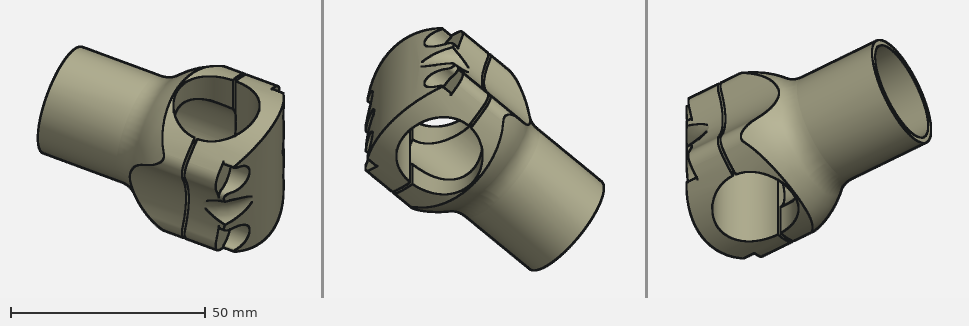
import cadquery as cq
import math


half_height = 20.32
waist_half_width = 16.06
crown_radius = 28.575
flank_radius = 22.8
corner_radius = 4.33

overall_length = 60.32
front_reach = 16.2
tube_end = front_reach - overall_length
tube_radius = 14.63
tube_bore_radius = 13.1
shoulder_radius = 23.6
shoulder_center_x = 0.5
neck_fillet = 7.9

bar_radius = 11.1
split_gap = 0.8

front_radius = 27.0

pocket_floor = 8.92
pocket_radius = 4.4
pocket_upper_fillet = 0.5
pocket_lower_fillet = 1.3

groove_center_x = 0.85
groove_inner_radius = 16.38
groove_section_radius = 5.0

cut_margin = 10.0


def circle_crossing(center_a, radius_a, center_b, radius_b):
    """Crossing of two circles that lies left of the line from center a to center b."""
    span = math.dist(center_a, center_b)
    heading = math.atan2(center_b[1] - center_a[1], center_b[0] - center_a[0])
    opening = math.acos((radius_a**2 + span**2 - radius_b**2) / (2 * radius_a * span))
    return point_at(center_a, radius_a, heading + opening)


def point_at(center, radius, angle):
    return (center[0] + radius * math.cos(angle), center[1] + radius * math.sin(angle))


def point_toward(center, target, distance):
    """Point at a distance from the center, on the ray from the center to the target."""
    angle = math.atan2(target[1] - center[1], target[0] - center[0])
    return point_at(center, distance, angle)


def arc_middle(center, start, end):
    """Middle of the shorter arc from start to end."""
    chord_middle = ((start[0] + end[0]) / 2, (start[1] + end[1]) / 2)
    return point_toward(center, chord_middle, math.dist(center, start))


crown_center = (0, half_height - crown_radius)
flank_center = (waist_half_width + flank_radius, 0)
corner_center = circle_crossing(
    crown_center, crown_radius - corner_radius, flank_center, flank_radius + corner_radius
)


def clamp_prism(x_start, x_end):
    """Clamp cross-section swept along X: crowned top and bottom, hollow flanks, round corners."""
    crown_end = point_toward(crown_center, corner_center, crown_radius)
    flank_end = point_toward(flank_center, corner_center, flank_radius)
    corner_middle = arc_middle(corner_center, crown_end, flank_end)
    crown_y, crown_z = crown_end
    middle_y, middle_z = corner_middle
    flank_y, flank_z = flank_end
    return (
        cq.Workplane("YZ", origin=(x_start, 0, 0))
        .moveTo(-crown_y, crown_z)
        .threePointArc((0, half_height), (crown_y, crown_z))
        .threePointArc((middle_y, middle_z), (flank_y, flank_z))
        .threePointArc((waist_half_width, 0), (flank_y, -flank_z))
        .threePointArc((middle_y, -middle_z), (crown_y, -crown_z))
        .threePointArc((0, -half_height), (-crown_y, -crown_z))
        .threePointArc((-middle_y, -middle_z), (-flank_y, -flank_z))
        .threePointArc((-waist_half_width, 0), (-flank_y, flank_z))
        .threePointArc((-middle_y, middle_z), (-crown_y, crown_z))
        .close()
        .extrude(x_end - x_start)
    )


def bar_bore():
    return cq.Workplane("XY").circle(bar_radius).extrude(half_height + cut_margin, both=True)


def stem_envelope():
    """Tube that flares through a fillet into a sphere centered near the handlebar axis."""
    shoulder_center = (shoulder_center_x, 0)
    fillet_height = tube_radius + neck_fillet
    fillet_x = shoulder_center_x - math.sqrt((shoulder_radius + neck_fillet) ** 2 - fillet_height**2)
    fillet_center = (fillet_x, fillet_height)
    fillet_start = (fillet_x, tube_radius)
    fillet_end = point_toward(shoulder_center, fillet_center, shoulder_radius)
    sphere_top = (shoulder_center_x, shoulder_radius)
    return (
        cq.Workplane("XY")
        .moveTo(tube_end, 0)
        .lineTo(tube_end, tube_radius)
        .lineTo(*fillet_start)
        .threePointArc(arc_middle(fillet_center, fillet_start, fillet_end), fillet_end)
        .threePointArc(arc_middle(shoulder_center, fillet_end, sphere_top), sphere_top)
        .lineTo(shoulder_center_x, 0)
        .close()
        .revolve(360, (0, 0, 0), (1, 0, 0))
    )


def make_stem():
    tube_bore = cq.Workplane("YZ", origin=(tube_end, 0, 0)).circle(tube_bore_radius).extrude(-tube_end)
    solid_stem = clamp_prism(tube_end, -split_gap).intersect(stem_envelope())
    return solid_stem.cut(tube_bore).cut(bar_bore()).solids()


def screw_pocket():
    """Round pocket opening outward through the upper +Y corner, with a rounded mouth."""
    upper_center = circle_crossing(
        crown_center,
        crown_radius - pocket_upper_fillet,
        corner_center,
        pocket_radius + pocket_upper_fillet,
    )
    lower_center = circle_crossing(
        flank_center,
        flank_radius + pocket_lower_fillet,
        corner_center,
        pocket_radius + pocket_lower_fillet,
    )
    crown_touch = point_toward(crown_center, upper_center, crown_radius)
    upper_touch = point_toward(corner_center, upper_center, pocket_radius)
    lower_touch = point_toward(corner_center, lower_center, pocket_radius)
    flank_touch = point_toward(flank_center, lower_center, flank_radius)
    deepest = (corner_center[0] - pocket_radius, corner_center[1])
    outside_y = waist_half_width + cut_margin
    outside_z = half_height + cut_margin
    return (
        cq.Workplane("YZ", origin=(pocket_floor, 0, 0))
        .moveTo(crown_touch[0], outside_z)
        .lineTo(*crown_touch)
        .threePointArc(arc_middle(upper_center, crown_touch, upper_touch), upper_touch)
        .threePointArc(deepest, lower_touch)
        .threePointArc(arc_middle(lower_center, lower_touch, flank_touch), flank_touch)
        .lineTo(outside_y, flank_touch[1])
        .lineTo(outside_y, outside_z)
        .close()
        .extrude(front_reach)
    )


def ring_groove():
    """Ring of circular section around the bar, cutting the cap only along its two side edges."""
    section_center_x = groove_center_x + groove_inner_radius + groove_section_radius
    return (
        cq.Workplane("XZ")
        .moveTo(section_center_x, 0)
        .circle(groove_section_radius)
        .revolve(360, (groove_center_x, 0, 0), (groove_center_x, 1, 0))
    )


def make_cap():
    front_cylinder = (
        cq.Workplane("XY")
        .center(front_reach - front_radius, 0)
        .circle(front_radius)
        .extrude(half_height + cut_margin, both=True)
    )
    cap = clamp_prism(0, front_reach).intersect(front_cylinder).cut(bar_bore())
    upper_pocket = screw_pocket()
    for pocket in (upper_pocket, upper_pocket.mirror("XY")):
        cap = cap.cut(pocket).cut(pocket.mirror("XZ"))
    return cap.cut(ring_groove()).solids()


stem = make_stem()
cap = make_cap()
result = cq.Compound.makeCompound([stem.val(), cap.val()])